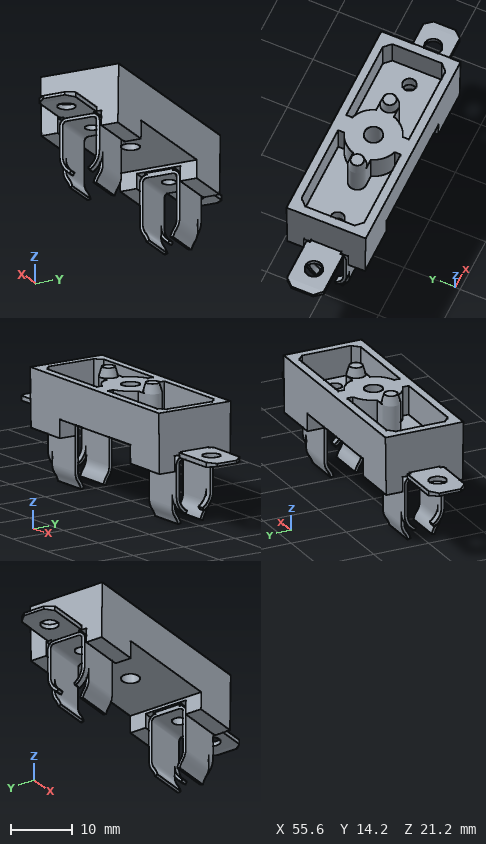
import cadquery as cq
import math


housing_length = 37.05
housing_width = 14.2
housing_height = 10.25
side_draft = 0.8
wall = 1.5
leg_length = 8.4
leg_height = 3.2
channel_width = 7.9
channel_height = 2.6

pocket_depth = 5.1
pocket_corner = 1.15
boss_radius = 4.8
rib_width = 3.2
bore_diameter = 3.1

pin_spacing = 12.7
pin_diameter = rib_width
pin_tip_diameter = 2.2
pin_tip_height = 1.6

overall_length = 55.65
tab_width = 6.55
tab_thickness = 0.85
tab_gap = 0.4
neck_width = 5.45
tip_length = 1.2
tip_width = 3.9
tip_thickness = 0.5
tab_hole_x = 23.3
tab_hole_diameter = 3.0
mount_hole_x = 14.0
mount_hole_diameter = 2.35

clip_length = 7.9
clip_width = 7.25
sheet = 0.55
clip_inner_bend = 0.7
clip_bottom = -9.3
stop_length = 1.2
stop_start = -4.25
stop_angle = 60.0
lip_start = -6.25
lip_radius = 3.1
lip_angle = 36.0
lip_end_angle = 15.0

half_length = housing_length / 2
half_width = housing_width / 2
pocket_floor = housing_height - pocket_depth
tab_end = overall_length / 2
tab_start = half_length + tab_gap
tab_top = leg_height
tab_bottom = tab_top - tab_thickness
clip_half = clip_width / 2
clip_inner_end = half_length - clip_length


def box(x_range, y_range, z_range):
    """Axis-aligned block between three pairs of limits."""
    size = [high - low for low, high in (x_range, y_range, z_range)]
    corner = (x_range[0], y_range[0], z_range[0])
    return cq.Workplane("XY").box(*size, centered=False).translate(corner)


def cylinder(x, diameter, bottom, top):
    """Upright cylinder on the X axis line."""
    return cq.Workplane("XY", origin=(x, 0, bottom)).circle(diameter / 2).extrude(top - bottom)


def mirrored_pair(shape):
    """A shape together with its mirror image across the YZ plane."""
    return shape.union(shape.mirror("YZ"))


def housing_block():
    """Bridge-shaped block whose long sides narrow towards the bottom."""
    bottom_half = half_width - housing_height * math.tan(math.radians(side_draft))
    block = (
        cq.Workplane("YZ")
        .polyline([
            (-bottom_half, 0),
            (bottom_half, 0),
            (half_width, housing_height),
            (-half_width, housing_height),
        ])
        .close()
        .extrude(half_length, both=True)
    )
    leg_inner = half_length - leg_length
    span = box((-leg_inner, leg_inner), (-half_width, half_width), (0, leg_height))
    channel_half = channel_width / 2
    channel = box((-half_length, half_length), (-channel_half, channel_half), (0, channel_height))
    return block.cut(span).cut(channel)


def pocket_cavity():
    """Hollow of the open top, leaving the central boss, ribs and pin webs standing."""
    pocket_length = housing_length - 2 * wall
    pocket_width = housing_width - 2 * wall
    cavity = (
        cq.Workplane("XY", origin=(0, 0, pocket_floor))
        .rect(pocket_length, pocket_width)
        .extrude(pocket_depth)
        .edges("|Z")
        .chamfer(pocket_corner)
    )
    half_rib = rib_width / 2
    half_pin_spacing = pin_spacing / 2
    levels = (pocket_floor, housing_height)
    boss = cylinder(0, 2 * boss_radius, *levels)
    cross_rib = box((-half_rib, half_rib), (-half_width, half_width), levels)
    pin_web = box((-half_pin_spacing, half_pin_spacing), (-half_rib, half_rib), levels)
    return cavity.cut(boss).cut(cross_rib).cut(pin_web)


def pin(x):
    """Round pin standing on the pocket floor, with a conical tip above the housing."""
    shank = cylinder(x, pin_diameter, pocket_floor, housing_height)
    tip = (
        cq.Workplane("XY", origin=(x, 0, housing_height))
        .circle(pin_diameter / 2)
        .workplane(offset=pin_tip_height)
        .circle(pin_tip_diameter / 2)
        .loft()
    )
    return shank.union(tip)


def make_housing():
    body = housing_block().cut(pocket_cavity())
    for x in (-pin_spacing / 2, pin_spacing / 2):
        body = body.union(pin(x))
    bore = cylinder(0, bore_diameter, 0, housing_height)
    mount_holes = mirrored_pair(cylinder(mount_hole_x, mount_hole_diameter, 0, housing_height))
    strip_recesses = mirrored_pair(terminal_strip())
    return body.cut(bore).cut(mount_holes).cut(strip_recesses)


def terminal_strip():
    """Narrow inner part of the flat tab, seated in the housing."""
    half_neck = neck_width / 2
    return box((clip_inner_end, tab_start), (-half_neck, half_neck), (tab_bottom, tab_top))


def contact_tab():
    """Flat push-on tab, tapered at the tip in both width and thickness."""
    shoulder = tab_end - tip_length
    half_tab = tab_width / 2
    half_tip = tip_width / 2
    plan = (
        cq.Workplane("XY", origin=(0, 0, tab_bottom))
        .polyline([
            (tab_start, -half_tab),
            (shoulder, -half_tab),
            (tab_end, -half_tip),
            (tab_end, half_tip),
            (shoulder, half_tab),
            (tab_start, half_tab),
        ])
        .close()
        .extrude(tab_thickness)
    )
    tip_step = (tab_thickness - tip_thickness) / 2
    profile = (
        cq.Workplane("XZ")
        .polyline([
            (tab_start, tab_bottom),
            (shoulder, tab_bottom),
            (tab_end, tab_bottom + tip_step),
            (tab_end, tab_top - tip_step),
            (shoulder, tab_top),
            (tab_start, tab_top),
        ])
        .close()
        .extrude(half_tab, both=True)
    )
    return plan.intersect(profile)


def clip_arch():
    """Inverted U of sheet metal, down to the start of the end stops."""
    inner_half = clip_half - sheet
    outer = box((clip_inner_end, half_length), (-clip_half, clip_half), (stop_start, tab_bottom))
    inner = box((clip_inner_end, half_length), (-inner_half, inner_half), (stop_start, tab_bottom - sheet))
    outer = outer.edges("|X and >Z").fillet(clip_inner_bend + sheet)
    inner = inner.edges("|X and >Z").fillet(clip_inner_bend)
    return outer.cut(inner)


def arc_point(center, radius, degrees):
    """Point in the YZ plane on an arc; zero degrees points along +Y, positive is downwards."""
    angle = math.radians(degrees)
    return (center[0] + radius * math.cos(angle), center[1] - radius * math.sin(angle))


def end_stop():
    """Curved finger that wraps inwards on an arc about the clip's centre line."""
    center = (0, stop_start)
    inner_radius = clip_half - sheet
    return (
        cq.Workplane("YZ", origin=(half_length - stop_length, 0, 0))
        .moveTo(*arc_point(center, clip_half, 0))
        .threePointArc(arc_point(center, clip_half, stop_angle / 2), arc_point(center, clip_half, stop_angle))
        .lineTo(*arc_point(center, inner_radius, stop_angle))
        .threePointArc(arc_point(center, inner_radius, stop_angle / 2), arc_point(center, inner_radius, 0))
        .close()
        .extrude(stop_length)
    )


def gripping_lip():
    """Long finger: straight, then bent inwards and partly back again in an S-curve."""
    inward_center = (clip_half - lip_radius, lip_start)
    inward_inner = lip_radius - sheet
    outer_turn = arc_point(inward_center, lip_radius, lip_angle)
    sine_drop = math.sin(math.radians(lip_angle)) - math.sin(math.radians(lip_end_angle))
    return_radius = (outer_turn[1] - clip_bottom) / sine_drop
    return_inner = return_radius + sheet
    return_center = arc_point(inward_center, lip_radius + return_radius, lip_angle)
    inward_middle = lip_angle / 2
    return_start = 180 + lip_angle
    return_end = 180 + lip_end_angle
    return_middle = (return_start + return_end) / 2
    return (
        cq.Workplane("YZ", origin=(clip_inner_end, 0, 0))
        .moveTo(clip_half, stop_start)
        .lineTo(clip_half, lip_start)
        .threePointArc(arc_point(inward_center, lip_radius, inward_middle), outer_turn)
        .threePointArc(
            arc_point(return_center, return_radius, return_middle),
            arc_point(return_center, return_radius, return_end),
        )
        .lineTo(*arc_point(return_center, return_inner, return_end))
        .threePointArc(
            arc_point(return_center, return_inner, return_middle),
            arc_point(return_center, return_inner, return_start),
        )
        .threePointArc(arc_point(inward_center, inward_inner, inward_middle), (clip_half - sheet, lip_start))
        .lineTo(clip_half - sheet, stop_start)
        .close()
        .extrude(clip_length - stop_length)
    )


def make_terminal():
    fingers = end_stop().union(gripping_lip())
    body = clip_arch().union(fingers).union(fingers.mirror("XZ"))
    body = body.union(terminal_strip()).union(contact_tab())
    for x, diameter in ((tab_hole_x, tab_hole_diameter), (mount_hole_x, mount_hole_diameter)):
        body = body.cut(cylinder(x, diameter, tab_bottom - sheet, tab_top))
    return body


housing = make_housing()
right_terminal = make_terminal()
terminals = [right_terminal, right_terminal.mirror("YZ")]

result = cq.Compound.makeCompound([body.solids().val() for body in (housing, *terminals)])